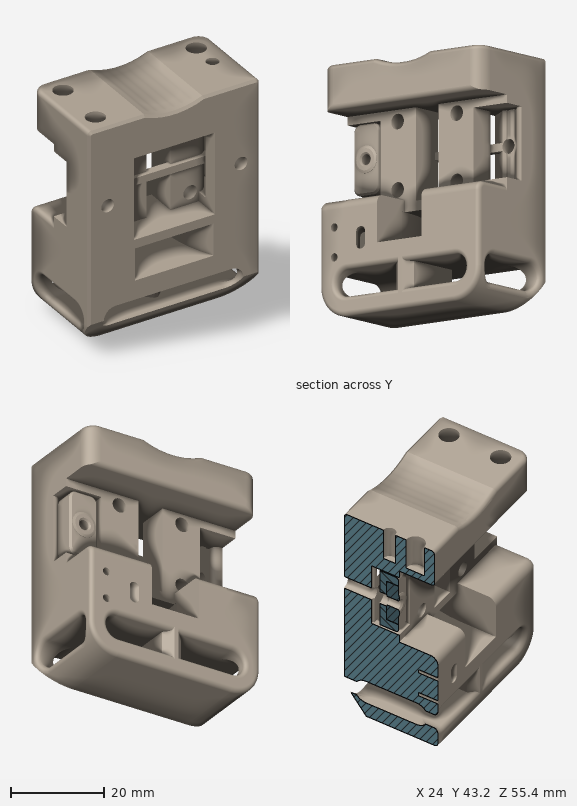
import cadquery as cq
import math

LENGTH = 24.0
WIDTH = 43.2
HEIGHT = 55.4
HALF_WIDTH = WIDTH / 2
EDGE_FILLET = 1.0
BACK_CHAMFER = 0.6

SHELF_Z = 25.55
SHELF_FRONT_FILLET = 2.0
BOTTOM_CORNER_RADIUS = 7.0
BACK_SLOPE_LENGTH = 5.9
BACK_SLOPE_HEIGHT = 7.4

PLATE_X = 9.8
HEAD_X = 0.8
HEAD_Z = 45.55
HEAD_CORNER_RADIUS = 3.0
SCALLOP_HALF_WIDTH = 7.35
SCALLOP_DEPTH = 1.5

HEAD_HOLE_DIAMETER = 4.6
HEAD_PIN_HOLE_DIAMETER = 3.0
HEAD_HOLE_DEPTH = 8.0
HEAD_HOLE_Y = 16.8
HEAD_HOLE_INSET = 5.0
HEAD_HOLE_FRONT_X = HEAD_X + HEAD_HOLE_INSET
HEAD_HOLE_BACK_X = LENGTH - HEAD_HOLE_INSET
HEAD_PIN_HOLE_X = (HEAD_HOLE_FRONT_X + HEAD_HOLE_BACK_X) / 2

SLOT_RADIUS = 3.0
SLOT_Z = 7.25
FRONT_SLOT_HALF_SPAN = 14.6
FRONT_SLOT_Y = -0.2
SIDE_SLOT_HALF_SPAN = 6.4
SIDE_SLOT_X = LENGTH / 2
DIVIDER_LENGTH = 17.0
DIVIDER_WIDTH = 4.8
DIVIDER_TIP_WIDTH = 1.0

NOTCH_HALF_WIDTH = 6.0
NOTCH_FLOOR_Z = 15.0
NOTCH_CEILING_Z = 23.0
NOTCH_FLARE_X = 8.7
NOTCH_FLARE_RADIUS = 32.0

POCKET_Z0 = 27.5
POCKET_Z1 = 43.7
POCKET_HEIGHT = POCKET_Z1 - POCKET_Z0
POCKET_INNER_Y = 12.6
POCKET_SIDE_X = 14.9
LIP_RADIUS = 1.65
LIP_INNER_Y = 19.45
RIB_FRONT_X = POCKET_SIDE_X + LIP_RADIUS
RIB_HEIGHT = 0.35
RIB_WIDTH = 1.05
RIB_COUNT = 2
GROOVE_FLOOR_X = RIB_FRONT_X + RIB_HEIGHT

WINDOW_HALF_WIDTH = 3.05
WINDOW_FLOOR_Z = 25.2
OPENING_HALF_WIDTH = 10.2
OPENING_TAPER_X = 20.3
TAPER_BEND_X = 18.1
TAPER_BEND_Y = 13.3
PLATE_BACK_X = 17.5
PLATE_BACK_RADIUS = PLATE_BACK_X - POCKET_SIDE_X
BAR_HEIGHT = 1.8
BAR_THICKNESS = 2.0
BAR_HALF_LENGTH = 15.2

PLATE_HOLE_DIAMETER = 3.4
PLATE_HOLE_Y = 8.0
PLATE_HOLE_Z = (28.1, 43.0)
CLAMP_Y = 16.8
CLAMP_Z = 35.8
CLAMP_HOLE_DIAMETER = 3.2
SMALL_HOLE_DIAMETER = 1.8
SMALL_HOLE_DEPTH = 5.0
SMALL_HOLE_Y = 17.6
SMALL_HOLE_Z = (13.05, 19.55)
CABLE_SLOT_Y = 10.45
CABLE_SLOT_Z = 16.6
CABLE_SLOT_WIDTH = 2.35
CABLE_SLOT_HEIGHT = 4.9
CABLE_SLOT_DEPTH = 7.0
CABLE_SLOT_ANGLE = math.radians(30)

CLAMP_WIDTH = 7.0
CLAMP_HEIGHT = 15.5
CLAMP_FRONT_X = 10.1
CLAMP_BACK_X = POCKET_SIDE_X
CLAMP_CORNER_RADIUS = 1.7
CLAMP_CHAMFER = 0.45

NUT_WIDTH = 6.1
NUT_LENGTH = 10.7
NUT_THICKNESS = 3.0
NUT_COLLAR_DIAMETER = 6.0
NUT_COLLAR_HEIGHT = 0.3
NUT_COLLAR_CHAMFER_WIDTH = 0.6
NUT_COLLAR_CHAMFER_HEIGHT = 0.2
NUT_HOLE_DIAMETER = 2.35
NUT_HOLE_CHAMFER = 0.37


def box(x0, x1, y0, y1, z0, z1):
    return cq.Workplane("XY").box(x1 - x0, y1 - y0, z1 - z0, centered=False).translate((x0, y0, z0))


def rod_x(diameter, x0, x1, y, z):
    return cq.Workplane("YZ", origin=(x0, y, z)).circle(diameter / 2).extrude(x1 - x0)


def lower_block():
    block = box(0, LENGTH, -HALF_WIDTH, HALF_WIDTH, 0, SHELF_Z)
    block = block.edges("|X and <Z").fillet(BOTTOM_CORNER_RADIUS)
    block = block.edges("<X and >Z").fillet(SHELF_FRONT_FILLET)
    return block.faces("<Y").edges(">Z").fillet(EDGE_FILLET)


def upper_block():
    profile = (
        cq.Workplane("XZ", origin=(0, HALF_WIDTH, 0))
        .moveTo(LENGTH, BACK_SLOPE_HEIGHT)
        .lineTo(LENGTH, HEIGHT)
        .lineTo(HEAD_X, HEIGHT)
        .lineTo(HEAD_X, HEAD_Z + EDGE_FILLET)
        .radiusArc((HEAD_X + EDGE_FILLET, HEAD_Z), -EDGE_FILLET)
        .lineTo(PLATE_X, HEAD_Z)
        .lineTo(PLATE_X, BACK_SLOPE_HEIGHT)
        .close()
        .extrude(WIDTH)
    )
    plan = box(HEAD_X, LENGTH, -HALF_WIDTH, HALF_WIDTH, 0, HEIGHT)
    plan = plan.edges("|Z and <X").fillet(HEAD_CORNER_RADIUS)
    block = profile.intersect(plan)
    scallop_radius = (SCALLOP_HALF_WIDTH**2 + SCALLOP_DEPTH**2) / (2 * SCALLOP_DEPTH)
    scallop = rod_x(2 * scallop_radius, 0, LENGTH, 0, HEIGHT - SCALLOP_DEPTH + scallop_radius)
    block = block.cut(scallop)
    return block.newObject(top_rim_edges(block)).fillet(EDGE_FILLET)


def top_rim_edges(block):
    """Edges around the head's top on the front and the sides, scallop included, but not on the back."""
    zone = cq.selectors.BoxSelector(
        (0, -WIDTH, HEIGHT - SCALLOP_DEPTH - EDGE_FILLET),
        (LENGTH - BACK_CHAMFER, WIDTH, HEIGHT + EDGE_FILLET),
    )
    return [edge for edge in block.edges(zone).vals() if not is_scallop_side(edge)]


def is_scallop_side(edge):
    inside = abs(edge.Center().y) < HALF_WIDTH - HEAD_CORNER_RADIUS
    along_x = edge.geomType() == "LINE" and abs(edge.tangentAt(0).x) > abs(edge.tangentAt(0).y)
    return inside and along_x


def outer_body():
    body = lower_block().union(upper_block())
    slope = (
        cq.Workplane("XZ", origin=(0, HALF_WIDTH, 0))
        .moveTo(LENGTH, BACK_SLOPE_HEIGHT)
        .lineTo(LENGTH - BACK_SLOPE_LENGTH, 0)
        .lineTo(LENGTH, 0)
        .close()
        .extrude(WIDTH)
    )
    back_rim = body.faces(">X").edges()
    return back_rim.chamfer(BACK_CHAMFER).cut(slope)


def front_slot():
    """Slot along X with a rounded mouth at the front face."""
    length = 2 * (FRONT_SLOT_HALF_SPAN + SLOT_RADIUS)
    slot = cq.Workplane("YZ").slot2D(length, 2 * SLOT_RADIUS).extrude(LENGTH)
    slab_half_height = 2 * SLOT_RADIUS
    slab = box(0, 2 * EDGE_FILLET, -HALF_WIDTH, HALF_WIDTH, -slab_half_height, slab_half_height)
    rim_half_width = length / 2 + EDGE_FILLET
    rim_half_height = SLOT_RADIUS + EDGE_FILLET
    slot_rim = cq.selectors.BoxSelector(
        (-EDGE_FILLET / 2, -rim_half_width, -rim_half_height),
        (EDGE_FILLET / 2, rim_half_width, rim_half_height),
    )
    mouth = slab.cut(slab.cut(slot).edges(slot_rim).fillet(EDGE_FILLET))
    return slot.union(mouth).translate((0, FRONT_SLOT_Y, SLOT_Z))


def side_slot():
    length = 2 * (SIDE_SLOT_HALF_SPAN + SLOT_RADIUS)
    return (
        cq.Workplane("XZ", origin=(SIDE_SLOT_X, HALF_WIDTH, SLOT_Z))
        .slot2D(length, 2 * SLOT_RADIUS)
        .extrude(WIDTH)
    )


def divider():
    bevel = (DIVIDER_WIDTH - DIVIDER_TIP_WIDTH) / 2
    height = 2 * (SLOT_RADIUS + EDGE_FILLET)
    bar = box(0, DIVIDER_LENGTH, -DIVIDER_WIDTH / 2, DIVIDER_WIDTH / 2, 0, height)
    bar = bar.edges("|Z").chamfer(bevel)
    return bar.translate((0, FRONT_SLOT_Y, SLOT_Z - height / 2))


def side_rim(side):
    half_length = SIDE_SLOT_HALF_SPAN + SLOT_RADIUS + EDGE_FILLET
    half_height = SLOT_RADIUS + EDGE_FILLET
    corners = [
        (SIDE_SLOT_X - half_length, side * (HALF_WIDTH - EDGE_FILLET), SLOT_Z - half_height),
        (SIDE_SLOT_X + half_length, side * (HALF_WIDTH + EDGE_FILLET), SLOT_Z + half_height),
    ]
    return cq.selectors.BoxSelector(*corners)


def cut_strap_slots(body):
    body = body.cut(side_slot())
    for side in (-1, 1):
        body = body.edges(side_rim(side)).fillet(EDGE_FILLET)
    body = body.cut(front_slot())
    return body.union(divider())


def notch():
    flare_run = LENGTH - NOTCH_FLARE_X
    flare_rise = NOTCH_FLARE_RADIUS - math.sqrt(NOTCH_FLARE_RADIUS**2 - flare_run**2)
    back_half_width = NOTCH_HALF_WIDTH + flare_rise
    lower = (
        cq.Workplane("XY", origin=(0, 0, NOTCH_FLOOR_Z))
        .moveTo(0, -NOTCH_HALF_WIDTH)
        .lineTo(NOTCH_FLARE_X, -NOTCH_HALF_WIDTH)
        .radiusArc((LENGTH, -back_half_width), NOTCH_FLARE_RADIUS)
        .lineTo(LENGTH, back_half_width)
        .radiusArc((NOTCH_FLARE_X, NOTCH_HALF_WIDTH), NOTCH_FLARE_RADIUS)
        .lineTo(0, NOTCH_HALF_WIDTH)
        .close()
        .extrude(NOTCH_CEILING_Z - NOTCH_FLOOR_Z)
    )
    upper = box(0, PLATE_X, -NOTCH_HALF_WIDTH, NOTCH_HALF_WIDTH, NOTCH_FLOOR_Z, SHELF_Z)
    return lower.union(upper)


def rib_outline():
    """Back wall of one pocket from the lip inward: grooves and ribs in turn."""
    points = []
    y = LIP_INNER_Y
    for x in (GROOVE_FLOOR_X, RIB_FRONT_X) * RIB_COUNT:
        points.append((x, y))
        y -= RIB_WIDTH
        points.append((x, y))
    return points


def half_cavity():
    """Space behind one pocket, from the mid-plane out to the rounded lip."""
    ribs = rib_outline()
    plan = (
        cq.Workplane("XY", origin=(0, 0, POCKET_Z0))
        .moveTo(PLATE_X, 0)
        .lineTo(PLATE_X, HALF_WIDTH)
        .lineTo(POCKET_SIDE_X, HALF_WIDTH)
        .lineTo(POCKET_SIDE_X, LIP_INNER_Y + LIP_RADIUS)
        .radiusArc((RIB_FRONT_X, LIP_INNER_Y), -LIP_RADIUS)
    )
    for point in ribs:
        plan = plan.lineTo(*point)
    plan = plan.lineTo(TAPER_BEND_X, TAPER_BEND_Y)
    plan = plan.lineTo(OPENING_TAPER_X, OPENING_HALF_WIDTH).lineTo(OPENING_TAPER_X, 0).close()
    return plan.extrude(POCKET_HEIGHT)


def plate():
    body = box(0, PLATE_BACK_X, -POCKET_INNER_Y, POCKET_INNER_Y, 0, HEIGHT)
    return body.edges("|Z and >X").fillet(PLATE_BACK_RADIUS)


def cut_cavity(body):
    half = half_cavity()
    opening = box(PLATE_X, LENGTH, -OPENING_HALF_WIDTH, OPENING_HALF_WIDTH, WINDOW_FLOOR_Z, HEAD_Z)
    cavity = half.union(half.mirror("XZ")).union(opening).cut(plate())
    window = box(0, LENGTH, -WINDOW_HALF_WIDTH, WINDOW_HALF_WIDTH, WINDOW_FLOOR_Z, HEAD_Z)
    bar = box(
        RIB_FRONT_X,
        RIB_FRONT_X + BAR_THICKNESS,
        -BAR_HALF_LENGTH,
        BAR_HALF_LENGTH,
        CLAMP_Z - BAR_HEIGHT / 2,
        CLAMP_Z + BAR_HEIGHT / 2,
    )
    return body.cut(cavity).cut(window).union(bar)


def cable_slot():
    """Upright slot that slants toward +Y as it goes in."""
    slot = (
        cq.Workplane("YZ", origin=(-CABLE_SLOT_DEPTH, 0, 0))
        .slot2D(CABLE_SLOT_HEIGHT, CABLE_SLOT_WIDTH * math.cos(CABLE_SLOT_ANGLE), 90)
        .extrude(2 * CABLE_SLOT_DEPTH)
    )
    slot = slot.rotate((0, 0, 0), (0, 0, 1), math.degrees(CABLE_SLOT_ANGLE))
    return slot.translate((0, CABLE_SLOT_Y, CABLE_SLOT_Z))


def cut_holes(body):
    for y in (-PLATE_HOLE_Y, PLATE_HOLE_Y):
        for z in PLATE_HOLE_Z:
            body = body.cut(rod_x(PLATE_HOLE_DIAMETER, 0, PLATE_BACK_X, y, z))
    for y in (-CLAMP_Y, CLAMP_Y):
        body = body.cut(rod_x(CLAMP_HOLE_DIAMETER, POCKET_SIDE_X, LENGTH, y, CLAMP_Z))
    for z in SMALL_HOLE_Z:
        body = body.cut(rod_x(SMALL_HOLE_DIAMETER, 0, SMALL_HOLE_DEPTH, SMALL_HOLE_Y, z))
    head_holes = [
        (HEAD_HOLE_FRONT_X, HEAD_HOLE_Y, HEAD_HOLE_DIAMETER),
        (HEAD_HOLE_FRONT_X, -HEAD_HOLE_Y, HEAD_HOLE_DIAMETER),
        (HEAD_HOLE_BACK_X, -HEAD_HOLE_Y, HEAD_HOLE_DIAMETER),
        (HEAD_PIN_HOLE_X, HEAD_HOLE_Y, HEAD_PIN_HOLE_DIAMETER),
    ]
    for x, y, diameter in head_holes:
        hole = cq.Workplane("XY", origin=(x, y, HEIGHT)).circle(diameter / 2).extrude(-HEAD_HOLE_DEPTH)
        body = body.cut(hole)
    return body.cut(cable_slot())


def make_housing():
    body = cut_strap_slots(outer_body())
    body = cut_cavity(body.cut(notch()))
    return cut_holes(body)


def nut_outline():
    """Nut outline: a straight-sided bar whose ends are square on one side and round on the other."""
    length = NUT_LENGTH / 2
    side = NUT_WIDTH / 2
    round_end = math.sqrt(length**2 - side**2)
    return (
        cq.Workplane("YZ", origin=(CLAMP_FRONT_X, CLAMP_Y, CLAMP_Z))
        .moveTo(-side, length)
        .lineTo(0, length)
        .radiusArc((side, round_end), length)
        .lineTo(side, -length)
        .lineTo(0, -length)
        .radiusArc((-side, -round_end), length)
        .close()
    )


def make_clamp():
    block = (
        cq.Workplane("YZ", origin=(CLAMP_FRONT_X, CLAMP_Y, CLAMP_Z))
        .rect(CLAMP_WIDTH, CLAMP_HEIGHT)
        .extrude(CLAMP_BACK_X - CLAMP_FRONT_X)
    )
    block = block.edges("|X").fillet(CLAMP_CORNER_RADIUS)
    block = block.faces("<X").chamfer(CLAMP_CHAMFER)
    block = block.cut(nut_outline().extrude(NUT_THICKNESS))
    return block.cut(rod_x(CLAMP_HOLE_DIAMETER, CLAMP_FRONT_X, CLAMP_BACK_X, CLAMP_Y, CLAMP_Z))


def make_nut():
    collar_front = CLAMP_FRONT_X - NUT_COLLAR_HEIGHT
    collar = rod_x(NUT_COLLAR_DIAMETER, collar_front, CLAMP_FRONT_X, CLAMP_Y, CLAMP_Z)
    collar = collar.faces("<X").chamfer(NUT_COLLAR_CHAMFER_HEIGHT, NUT_COLLAR_CHAMFER_WIDTH)
    nut = nut_outline().extrude(NUT_THICKNESS).union(collar)
    nut = nut.cut(rod_x(NUT_HOLE_DIAMETER, collar_front, CLAMP_BACK_X, CLAMP_Y, CLAMP_Z))
    bore_rim = nut.faces("<X").edges(cq.selectors.RadiusNthSelector(0))
    return bore_rim.chamfer(NUT_HOLE_CHAMFER)


housing = make_housing()
clamp = make_clamp()
nut = make_nut()

result = cq.Compound.makeCompound([housing.val(), clamp.val(), nut.val()])